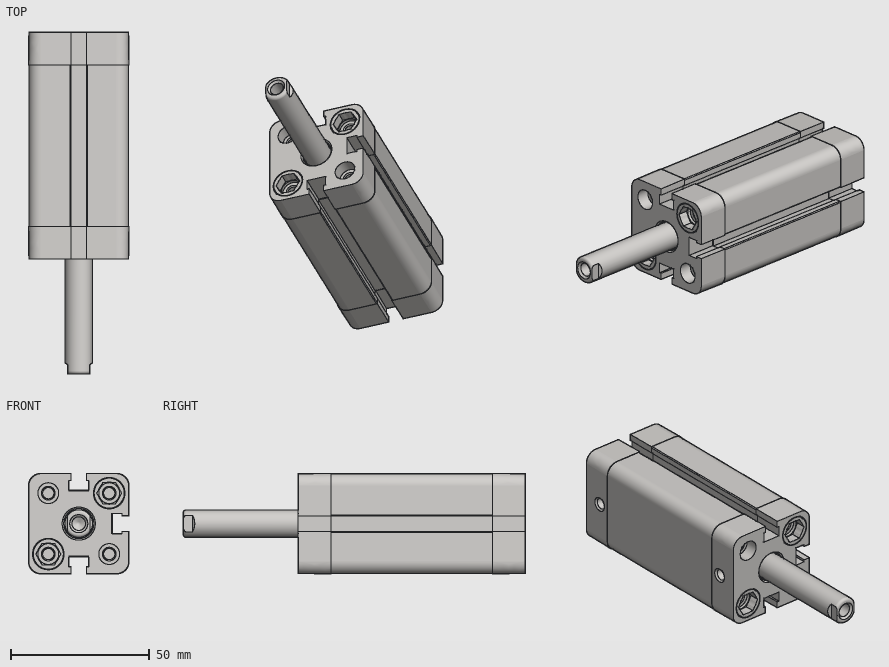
import cadquery as cq
import math


side = 36.3
tube_side = 36.1
corner_radius = 4.5
cap_length = 11.9
tube_length = 58.3
cap_draft = math.degrees(math.atan((side - tube_side) / 2 / cap_length))
housing_length = 2 * cap_length + tube_length

slot_mouth = 5.6
slot_width = 7.2
slot_shoulder = 15.6
cap_slot_floor = 11.7
tube_slot_floor = 12.1
slot_edge_chamfer = 0.4
slot_angles = (-90, 0, 90)

overall_length = 123.6
rod_diameter = 10.0
rod_projection = overall_length - housing_length
rod_end_fillet = 1.1
rod_flat_width = 8.0
rod_flat_length = 3.3
rod_flat_runout = 0.9
rod_hole_diameter = 5.0
rod_hole_mouth = 6.5
rod_hole_depth = 9.9
drill_point_angle = 118.0

gland_diameter = 12.0
gland_inner_diameter = 10.9
gland_chamfer = (gland_diameter - gland_inner_diameter) / 2
gland_depth = 2.5

bolt_offset = 11.0
thread_diameter = 4.1
thread_mouth_diameter = 5.0
thread_depth = 9.9
counterbore_diameter = 7.5
counterbore_depth = 5.0
screw_seat_diameter = 11.4
screw_head_diameter = 10.9
screw_gap_depth = 1.2
socket_corner_diameter = 9.0
socket_bore_diameter = 8.0
socket_depth = 3.7

port_diameter = 4.1
port_mouth_diameter = 5.5
port_depth = side / 2
port_offset = 7.5


def cylinder(diameter, length, x, y, z):
    """Cylinder that starts at (x, y, z) and runs towards +Y."""
    return cq.Workplane(cq.Solid.makeCylinder(
        diameter / 2, length, cq.Vector(x, y, z), cq.Vector(0, 1, 0)))


def cone(start_diameter, end_diameter, length, x, y, z):
    """Cone that starts at (x, y, z) and runs towards +Y."""
    return cq.Workplane(cq.Solid.makeCone(
        start_diameter / 2, end_diameter / 2, length, cq.Vector(x, y, z), cq.Vector(0, 1, 0)))


def rounded_square(width, y):
    """Housing outline in the plane at the given Y."""
    outline = cq.Sketch().rect(width, width).vertices().fillet(corner_radius)
    return cq.Workplane("XZ", origin=(0, y, 0)).placeSketch(outline)


def slot_cutters(floor, edge_chamfer, y, length):
    """One T-slot for each slotted side, as bodies to cut away."""
    edge = tube_side / 2
    outside = side / 2
    mouth = slot_mouth / 2
    half_width = slot_width / 2
    half_outline = [
        (outside, mouth + edge_chamfer),
        (edge, mouth + edge_chamfer),
        (edge - edge_chamfer, mouth),
        (slot_shoulder, mouth),
        (slot_shoulder, half_width),
        (floor, half_width),
    ]
    if edge_chamfer == 0:
        del half_outline[1:3]
    outline = half_outline + [(x, -z) for x, z in reversed(half_outline)]
    slot = cq.Workplane("XZ", origin=(0, y, 0)).polyline(outline).close().extrude(-length)
    return [slot.rotate((0, 0, 0), (0, 1, 0), angle) for angle in slot_angles]


def make_tube():
    tube = rounded_square(tube_side, cap_length).extrude(-tube_length)
    for cutter in slot_cutters(tube_slot_floor, slot_edge_chamfer, cap_length, tube_length):
        tube = tube.cut(cutter)
    return tube


def port_cutter(y):
    """Threaded-size air port with a countersunk mouth, entering from the -X side."""
    mouth_depth = (port_mouth_diameter - port_diameter) / 2
    start = cq.Vector(-side / 2, y, 0)
    inward = cq.Vector(1, 0, 0)
    hole = cq.Solid.makeCylinder(port_diameter / 2, port_depth, start, inward)
    mouth = cq.Solid.makeCone(port_mouth_diameter / 2, port_diameter / 2, mouth_depth, start, inward)
    return cq.Workplane(hole.fuse(mouth))


def make_cap():
    """Plain cap with its outer end at Y = 0."""
    cap = rounded_square(side, cap_length).extrude(cap_length, taper=cap_draft)
    for cutter in slot_cutters(cap_slot_floor, 0, 0, cap_length):
        cap = cap.cut(cutter)
    return cap.cut(port_cutter(port_offset))


def bolt_hole_cutter(x, z):
    """Counterbored hole that ends in a countersunk, threaded-size hole."""
    mouth_depth = (thread_mouth_diameter - thread_diameter) / 2
    counterbore = cylinder(counterbore_diameter, counterbore_depth, x, 0, z)
    mouth = cone(thread_mouth_diameter, thread_diameter, mouth_depth, x, counterbore_depth, z)
    thread = cylinder(thread_diameter, thread_depth, x, 0, z)
    return counterbore.union(mouth).union(thread)


def screw_cutter(x, z):
    """Gap around a hollow screw head, and the hexagon socket in the head."""
    gap = cylinder(screw_seat_diameter, screw_gap_depth, x, 0, z).cut(
        cylinder(screw_head_diameter, screw_gap_depth, x, 0, z))
    socket = (
        cq.Workplane("XZ", origin=(x, 0, z))
        .polygon(6, socket_corner_diameter)
        .extrude(-socket_depth)
        .union(cylinder(socket_bore_diameter, socket_depth, x, 0, z))
    )
    return gap, socket


def make_front_cap():
    cap = make_cap()
    for sign in (-1, 1):
        x = sign * bolt_offset
        for z in (-bolt_offset, bolt_offset):
            cap = cap.cut(bolt_hole_cutter(x, z))
        for cutter in screw_cutter(x, x):
            cap = cap.cut(cutter)
    cap = cap.cut(cylinder(rod_diameter, cap_length, 0, 0, 0))
    cap = cap.cut(cylinder(gland_inner_diameter, gland_depth, 0, 0, 0))
    return cap.cut(cone(gland_diameter, gland_inner_diameter, gland_chamfer, 0, 0, 0))


def make_rear_cap():
    return make_cap().mirror("XZ").translate((0, housing_length, 0))


def make_rod():
    tip = -rod_projection
    rod = cylinder(rod_diameter, rod_projection + cap_length, 0, tip, 0)
    rod = rod.faces("<Y").edges().fillet(rod_end_fillet)

    flat = rod_flat_width / 2
    radius = rod_diameter / 2
    flat_end = tip + rod_flat_length
    outline = [(flat, tip), (radius, tip), (radius, flat_end + rod_flat_runout), (flat, flat_end)]
    cutter = (
        cq.Workplane("XY", origin=(0, 0, -radius))
        .polyline(outline).close().extrude(rod_diameter)
    )
    rod = rod.cut(cutter).cut(cutter.mirror("YZ"))

    mouth_depth = (rod_hole_mouth - rod_hole_diameter) / 2
    point_length = rod_hole_diameter / 2 / math.tan(math.radians(drill_point_angle / 2))
    rod = rod.cut(cylinder(rod_hole_diameter, rod_hole_depth, 0, tip, 0))
    rod = rod.cut(cone(rod_hole_mouth, rod_hole_diameter, mouth_depth, 0, tip, 0))
    return rod.cut(cone(rod_hole_diameter, 0, point_length, 0, tip + rod_hole_depth, 0))


tube = make_tube()
front_cap = make_front_cap()
rear_cap = make_rear_cap()
rod = make_rod()

result = cq.Compound.makeCompound([tube.val(), front_cap.val(), rear_cap.val(), rod.val()])